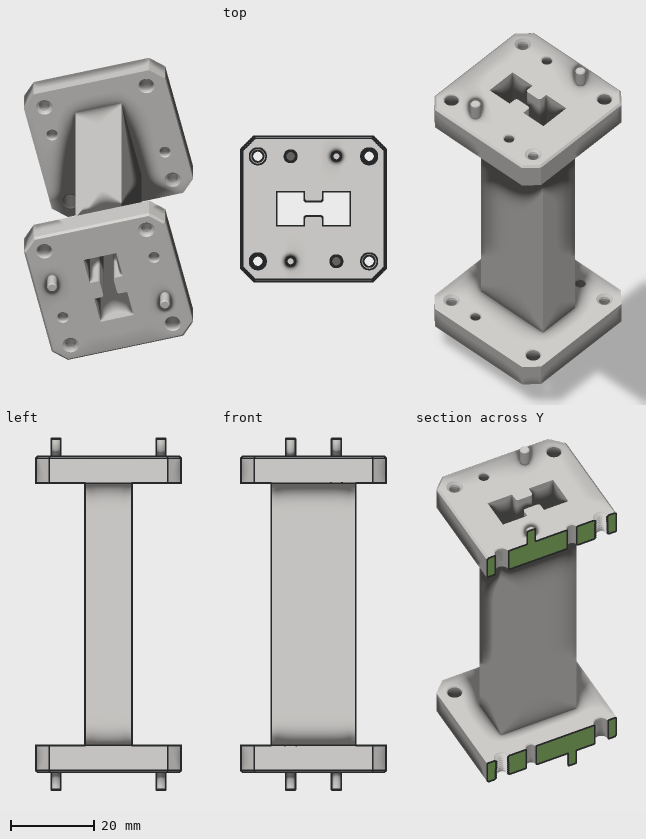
import cadquery as cq

total_length = 84.8
pin_protrusion = 4.3

flange_side = 35.0
flange_thickness = 6.5
corner_cut = 3.2
rim_chamfer = 0.5

tube_x, tube_y = 20.35, 11.4
bore_x, bore_y = 17.6, 8.1
ridge_width = 4.5
ridge_gap = 3.4
ridge_round = 0.7

bolt_spacing_x, bolt_spacing_y = 26.8, 25.3
bolt_diameter = 3.5
thread_minor = 2.6
thread_ridges = 9

dowel_spacing_x = 11.0
dowel_spacing_y = bolt_spacing_y
pin_diameter = 2.4
pin_chamfer = 0.25
pin_hole_diameter = 2.5

mouth_chamfer = 0.25

flange_top = total_length / 2 - pin_protrusion
flange_base = flange_top - flange_thickness


def diagonal_pair(spacing_x, spacing_y, slope):
    """Two opposite corners of a rectangle; slope is +1 or -1 for the diagonal's direction."""
    return [(side * spacing_x / 2, side * slope * spacing_y / 2) for side in (1, -1)]


def hole_cutter(diameter, ridge_diameter=None):
    """Cutter for a hole through the upper flange on the Z axis, countersunk at both faces.

    With a ridge diameter, the wall carries evenly stacked V-shaped thread ridges of that inner size.
    """
    radius = diameter / 2
    mouth_radius = radius + mouth_chamfer
    wall_start = flange_base + mouth_chamfer
    wall_end = flange_top - mouth_chamfer

    profile = cq.Workplane("XZ").moveTo(0, flange_base)
    profile = profile.lineTo(mouth_radius, flange_base)
    profile = profile.lineTo(radius, wall_start)
    if ridge_diameter:
        pitch = (wall_end - wall_start) / thread_ridges
        for ridge in range(thread_ridges):
            crest = wall_start + (ridge + 0.5) * pitch
            profile = profile.lineTo(ridge_diameter / 2, crest)
            profile = profile.lineTo(radius, crest + pitch / 2)
    else:
        profile = profile.lineTo(radius, wall_end)
    profile = profile.lineTo(mouth_radius, flange_top)
    profile = profile.lineTo(0, flange_top).close()
    return profile.revolve(360, (0, 0, 0), (0, 1, 0))


def cut_at(body, points, cutter):
    """Cut the body with a copy of the cutter at each point."""
    for x, y in points:
        body = body.cut(cutter.translate((x, y, 0)))
    return body


def make_flange():
    """Upper flange with its bolt holes, dowel holes and dowel pins."""
    flange = (
        cq.Workplane("XY", origin=(0, 0, flange_base))
        .rect(flange_side, flange_side)
        .extrude(flange_thickness)
        .edges("|Z")
        .chamfer(corner_cut)
        .faces(">Z")
        .edges()
        .chamfer(rim_chamfer)
    )
    plain_bolts = diagonal_pair(bolt_spacing_x, bolt_spacing_y, 1)
    threaded_bolts = diagonal_pair(bolt_spacing_x, bolt_spacing_y, -1)
    pin_holes = diagonal_pair(dowel_spacing_x, dowel_spacing_y, -1)
    flange = cut_at(flange, plain_bolts, hole_cutter(bolt_diameter))
    flange = cut_at(flange, threaded_bolts, hole_cutter(bolt_diameter, thread_minor))
    flange = cut_at(flange, pin_holes, hole_cutter(pin_hole_diameter))

    pins = (
        cq.Workplane("XY", origin=(0, 0, flange_base))
        .pushPoints(diagonal_pair(dowel_spacing_x, dowel_spacing_y, 1))
        .circle(pin_diameter / 2)
        .extrude(flange_thickness + pin_protrusion)
        .faces(">Z")
        .edges()
        .chamfer(pin_chamfer)
    )
    return flange.union(pins)


def make_bore():
    """Rectangular passage narrowed by two opposite ridges with rounded edges."""
    passage = cq.Workplane("XY").box(bore_x, bore_y, total_length)
    ridge_height = (bore_y - ridge_gap) / 2
    for side in (1, -1):
        ridge = (
            cq.Workplane("XY")
            .center(0, side * (bore_y - ridge_height) / 2)
            .rect(ridge_width, ridge_height)
            .extrude(total_length / 2, both=True)
            .edges("|Z")
            .edges("<Y" if side > 0 else ">Y")
            .fillet(ridge_round)
        )
        passage = passage.cut(ridge)
    return passage


upper_flange = make_flange()
lower_flange = upper_flange.rotate((0, 0, 0), (1, 0, 0), 180)
tube = cq.Workplane("XY").box(tube_x, tube_y, 2 * flange_base)
result = tube.union(upper_flange).union(lower_flange).cut(make_bore())